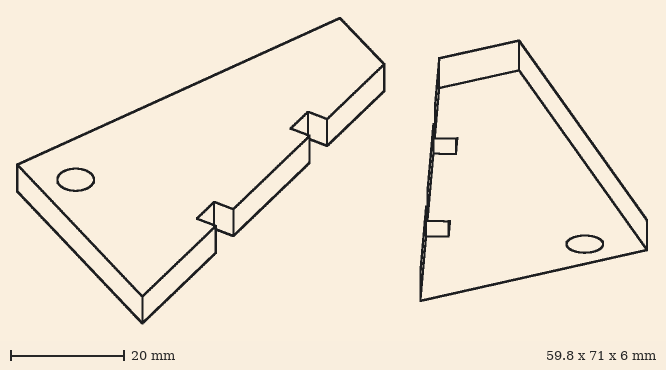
import cadquery as cq
import math

width = 59.8
length = 71.0
thickness = 6.0

left_corner = (0.0, 69.4)
top_corner = (15.5, length)
right_corner = (width, 4.4)
bottom_corner = (15.7, 0.0)

notch_width = 5.75
notch_depth = 4.0
first_notch_start = 18.9
notch_spacing = 31.0
notch_count = 2

hole_center = (23.9, 7.6)
hole_diameter = 6.45


def make_plate():
    corners = [left_corner, top_corner, right_corner, bottom_corner]
    return cq.Workplane("XY").polyline(corners).close().extrude(thickness)


def make_notch(start):
    """Cutter centred on the edge line, so half of it lies outside the plate."""
    edge_x = right_corner[0] - top_corner[0]
    edge_y = right_corner[1] - top_corner[1]
    edge_length = math.hypot(edge_x, edge_y)
    fraction = (start + notch_width / 2) / edge_length
    center = (top_corner[0] + fraction * edge_x, top_corner[1] + fraction * edge_y)
    edge_angle = math.degrees(math.atan2(edge_y, edge_x))
    return (
        cq.Workplane("XY")
        .rect(notch_width, 2 * notch_depth)
        .extrude(thickness)
        .rotate((0, 0, 0), (0, 0, 1), edge_angle)
        .translate((center[0], center[1], 0))
    )


def make_hole():
    return cq.Workplane("XY").center(*hole_center).circle(hole_diameter / 2).extrude(thickness)


result = make_plate().cut(make_hole())
for index in range(notch_count):
    result = result.cut(make_notch(first_notch_start + index * notch_spacing))